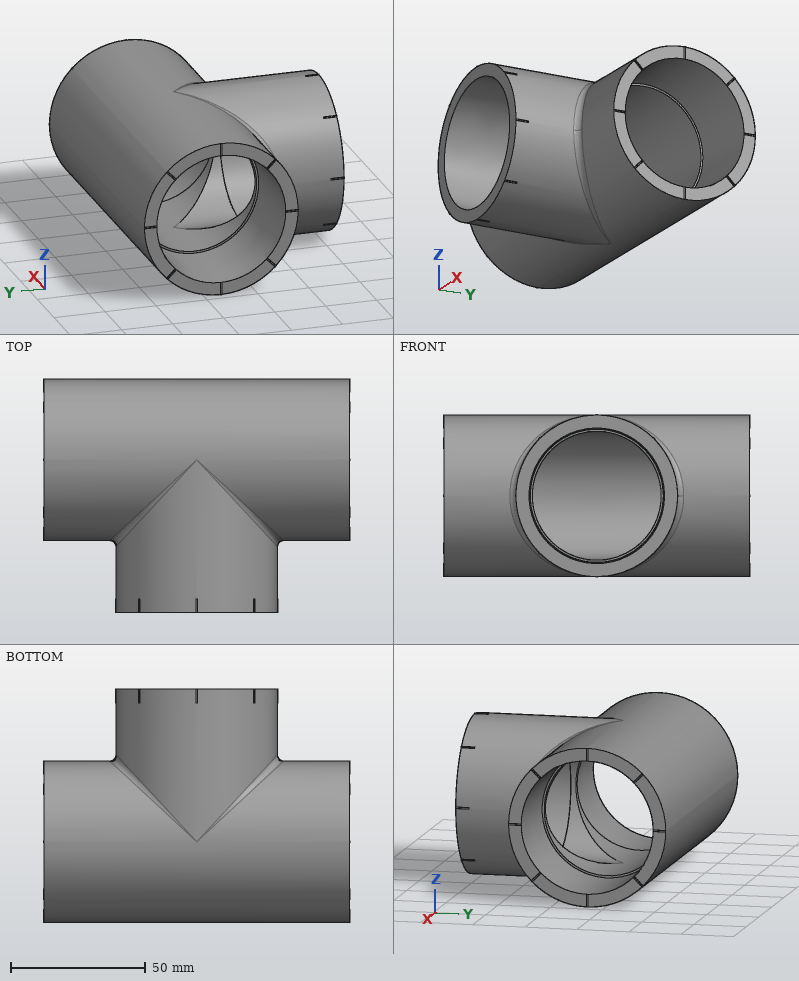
import cadquery as cq

overall_length = 114.4
outer_diameter = 60.3
bore_diameter = 48.0
socket_root_diameter = 49.6
socket_mouth_diameter = 50.6
socket_depth = 31.0
crotch_radius = 2.3

mark_count = 8
mark_height = 0.21
mark_width = 0.6
branch_mark_length = 5.1

outer_radius = outer_diameter / 2
bore_radius = bore_diameter / 2
root_radius = socket_root_diameter / 2
mouth_radius = socket_mouth_diameter / 2
arm_length = overall_length / 2 - mark_height
shoulder_distance = arm_length - socket_depth
mark_step = 360 / mark_count


def make_body():
    """Solid run and branch, with a fillet along the curves where they meet."""
    run = cq.Workplane("YZ").circle(outer_radius).extrude(arm_length, both=True)
    branch = cq.Workplane("XZ").circle(outer_radius).extrude(arm_length)
    body = run.union(branch)
    return body.edges("%ELLIPSE").fillet(crotch_radius)


def make_branch_cavity():
    """Bore from the centre out to a shoulder, then a socket that widens to its mouth."""
    profile = [
        (0, 0),
        (bore_radius, 0),
        (bore_radius, -shoulder_distance),
        (root_radius, -shoulder_distance),
        (mouth_radius, -arm_length),
        (0, -arm_length),
    ]
    return cq.Workplane("XY").polyline(profile).close().revolve(360, (0, 0), (0, 1))


def turn_about_z(shape, angle):
    return shape.rotate((0, 0, 0), (0, 0, 1), angle)


def make_branch_marks():
    """Raised lines along the outside of the branch, running back from its end face."""
    socket_core = cq.Workplane("XZ").circle(mouth_radius).extrude(arm_length)
    marks = cq.Workplane("XY")
    for index in range(mark_count):
        mark = cq.Workplane("XY").box(
            mark_width, branch_mark_length, outer_radius + mark_height, centered=(True, False, False)
        )
        mark = mark.translate((0, -arm_length, 0))
        marks = marks.add(mark.rotate((0, 0, 0), (0, 1, 0), index * mark_step))
    return marks.combine().cut(socket_core)


def make_run_end_marks():
    """Raised radial lines across the wall on the +X end face of the run."""
    end_face = cq.Workplane("YZ", origin=(arm_length, 0, 0))
    wall = end_face.circle(outer_radius).circle(mouth_radius).extrude(mark_height)
    spokes = cq.Workplane("XY")
    for index in range(mark_count // 2):
        spoke = cq.Workplane("XY").box(
            mark_height, mark_width, outer_diameter, centered=(False, True, True)
        )
        spoke = spoke.translate((arm_length, 0, 0))
        spokes = spokes.add(spoke.rotate((0, 0, 0), (1, 0, 0), index * mark_step))
    return wall.intersect(spokes.combine())


branch_cavity = make_branch_cavity()
run_end_marks = make_run_end_marks()

result = make_body()
for cavity_angle in (-90, 0, 90):
    result = result.cut(turn_about_z(branch_cavity, cavity_angle))
result = result.union(make_branch_marks())
for end_angle in (0, 180):
    result = result.union(turn_about_z(run_end_marks, end_angle))